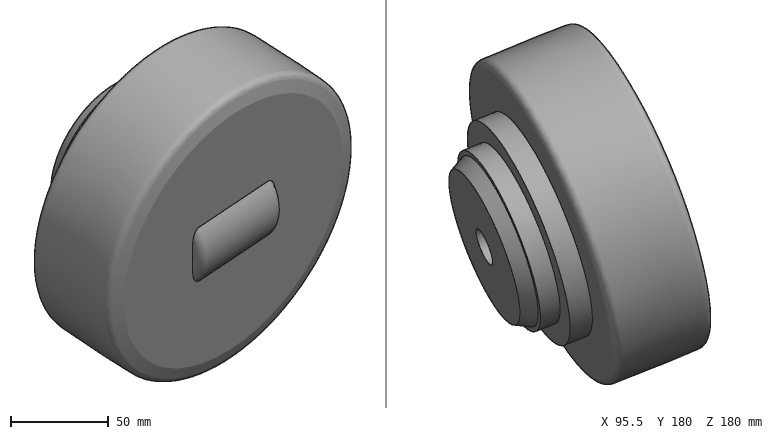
import cadquery as cq
import math

hub_taper_end = 8.3
flange_start = 19.5
wheel_start = 32.0
wheel_end = 89.3
overall_length = 95.5

hub_face_radius = 43.0
hub_taper_radius = 47.3
hub_radius = 50.0
flange_radius = 62.0
wheel_radius = 90.0

crown_radius = 1000.5
tread_middle = (wheel_start + wheel_end) / 2

rim_fillet = 4.0
rim_slope_angle = math.radians(15)
outer_flat_radius = 79.7

bore_radius = 10.0
bore_depth = 12.0

roller_radius = 29.9
roller_length = 2 * roller_radius
roller_fillet = 5.0


def tread_radius(x):
    """Radius of the crowned tread at station x, largest midway across the wheel."""
    offset = x - tread_middle
    return wheel_radius - crown_radius + math.sqrt(crown_radius**2 - offset**2)


def turned_body():
    """Hub, flange and wheel revolved about the X axis, with sharp rim edges."""
    tread_edge_radius = tread_radius(wheel_start)
    tread_end = wheel_end - (tread_edge_radius - outer_flat_radius) * math.tan(rim_slope_angle)
    return (
        cq.Workplane("XY")
        .lineTo(0, hub_face_radius)
        .lineTo(hub_taper_end, hub_taper_radius)
        .lineTo(hub_taper_end, hub_radius)
        .lineTo(flange_start, hub_radius)
        .lineTo(flange_start, flange_radius)
        .lineTo(wheel_start, flange_radius)
        .lineTo(wheel_start, tread_edge_radius)
        .threePointArc((tread_middle, wheel_radius), (tread_end, tread_radius(tread_end)))
        .lineTo(wheel_end, outer_flat_radius)
        .lineTo(wheel_end, 0)
        .close()
        .revolve(360, (0, 0, 0), (1, 0, 0))
    )


def round_rim(body):
    """Round the two wheel edges that border the tread."""
    circles = body.edges("%CIRCLE")
    tread_edges = circles.filter(lambda edge: edge.radius() > outer_flat_radius + rim_fillet)
    return tread_edges.fillet(rim_fillet)


def guide_roller():
    """Roller with rounded ends, its side tangent to the far end of the part."""
    return (
        cq.Workplane("XZ")
        .center(overall_length - roller_radius, 0)
        .circle(roller_radius)
        .extrude(roller_length / 2, both=True)
        .edges("%CIRCLE")
        .fillet(roller_fillet)
    )


def bore():
    """Blind hole on the axis, opening at the hub face."""
    return cq.Workplane("YZ").circle(bore_radius).extrude(bore_depth)


result = round_rim(turned_body()).union(guide_roller()).cut(bore())